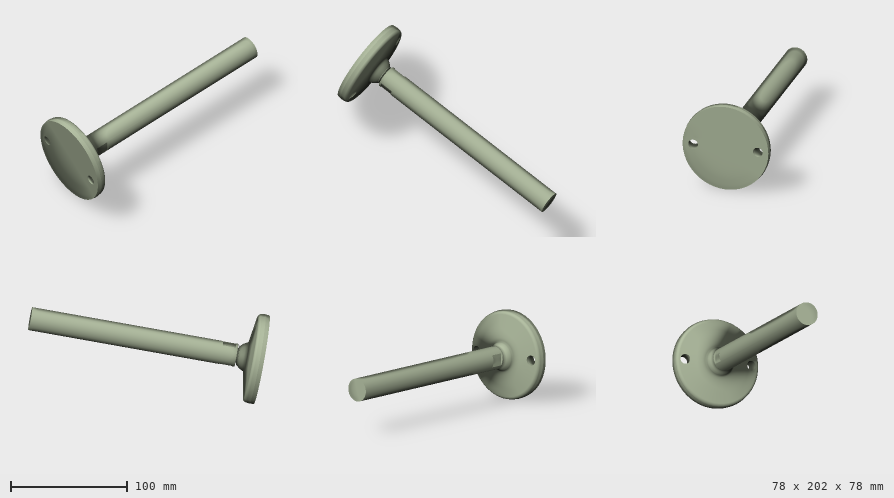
import cadquery as cq
import math


TOTAL_LENGTH = 202.0
SHAFT_DIAMETER = 20.0
SHAFT_START = 22.1
SHAFT_CHAMFER = 0.4
FLATS_WIDTH = 17.0
FLATS_START = 24.0
FLATS_LENGTH = 11.4
BALL_RADIUS = 10.6
BALL_CENTRE = 13.0

PLATE_RADIUS = 39.0
PARTING_HEIGHT = 3.7
RIM_DRAFT = 0.45
RIM_TOP = 6.75
SHOULDER_RADIUS = 3.0
CONE_SLOPE = math.radians(9.6)

DOME_RADIUS = 13.2
DOME_CENTRE = 10.0
DOME_TOP = 20.1
LIP_HEIGHT = 0.6
DOME_BLEND = 2.0

HOLE_DIAMETER = 8.5
HOLE_OFFSET = 29.1
HOLE_OVERSHOOT = 10.0


def make_spindle():
    """Shaft with two wrench flats, and a ball at its lower end."""
    shaft = (
        cq.Workplane("XZ", origin=(0, SHAFT_START, 0))
        .circle(SHAFT_DIAMETER / 2)
        .extrude(SHAFT_START - TOTAL_LENGTH)
        .faces("<Y")
        .chamfer(SHAFT_CHAMFER)
    )
    for side in (-1, 1):
        waste_centre = (side * (FLATS_WIDTH + SHAFT_DIAMETER) / 2, FLATS_START + FLATS_LENGTH / 2, 0)
        waste = cq.Workplane("XY").box(SHAFT_DIAMETER, FLATS_LENGTH, SHAFT_DIAMETER)
        shaft = shaft.cut(waste.translate(waste_centre))
    return shaft.union(make_ball())


def make_ball():
    return cq.Workplane("XY").sphere(BALL_RADIUS).translate((0, BALL_CENTRE, 0))


def arc_point(centre, radius, angle):
    """Point (r, y) on an arc, with the angle counted from the outward direction."""
    return (centre[0] + radius * math.cos(angle), centre[1] + radius * math.sin(angle))


def make_foot_blank():
    """Drafted rim, rounded shoulder, conical top, and a dome blended into the cone."""
    rim_radius = PLATE_RADIUS - RIM_DRAFT
    cone_normal = math.pi / 2 - CONE_SLOPE

    shoulder_centre = (rim_radius - SHOULDER_RADIUS, RIM_TOP)
    shoulder_middle = arc_point(shoulder_centre, SHOULDER_RADIUS, cone_normal / 2)
    cone_outer = arc_point(shoulder_centre, SHOULDER_RADIUS, cone_normal)

    apex_height = cone_outer[1] + cone_outer[0] * math.tan(CONE_SLOPE)
    across = (apex_height - DOME_CENTRE) * math.cos(CONE_SLOPE) + DOME_BLEND
    along = math.sqrt((DOME_RADIUS + DOME_BLEND) ** 2 - across**2)
    dome_centre = (0, DOME_CENTRE)
    dome_foot_angle = cone_normal - math.atan2(along, across)
    blend_centre = arc_point(dome_centre, DOME_RADIUS + DOME_BLEND, dome_foot_angle)
    cone_inner = arc_point(blend_centre, -DOME_BLEND, cone_normal)
    blend_middle = arc_point(blend_centre, -DOME_BLEND, (cone_normal + dome_foot_angle) / 2)
    dome_foot = arc_point(dome_centre, DOME_RADIUS, dome_foot_angle)

    dome_top_angle = math.asin((DOME_TOP - DOME_CENTRE) / DOME_RADIUS)
    dome_middle = arc_point(dome_centre, DOME_RADIUS, (dome_foot_angle + dome_top_angle) / 2)
    dome_top = arc_point(dome_centre, DOME_RADIUS, dome_top_angle)
    lip_top = DOME_TOP + LIP_HEIGHT

    return (
        cq.Workplane("XY")
        .lineTo(rim_radius, 0)
        .lineTo(PLATE_RADIUS, PARTING_HEIGHT)
        .lineTo(rim_radius, RIM_TOP)
        .threePointArc(shoulder_middle, cone_outer)
        .lineTo(*cone_inner)
        .threePointArc(blend_middle, dome_foot)
        .threePointArc(dome_middle, dome_top)
        .lineTo(dome_top[0], lip_top)
        .lineTo(0, lip_top)
        .close()
        .revolve(360, (0, 0, 0), (0, 1, 0))
    )


def make_foot():
    """Plate and dome in one piece, with a ball socket and two tilted fixing holes."""
    foot = make_foot_blank().cut(make_ball())
    for side in (-1, 1):
        direction = cq.Vector(side * math.sin(CONE_SLOPE), math.cos(CONE_SLOPE), 0)
        start = cq.Vector(side * HOLE_OFFSET, 0, 0) - direction * HOLE_OVERSHOOT
        length = RIM_TOP + SHOULDER_RADIUS + 2 * HOLE_OVERSHOOT
        foot = foot.cut(cq.Workplane(cq.Solid.makeCylinder(HOLE_DIAMETER / 2, length, start, direction)))
    return foot


spindle = make_spindle()
foot = make_foot()

result = cq.Compound.makeCompound([*spindle.solids().vals(), *foot.solids().vals()])